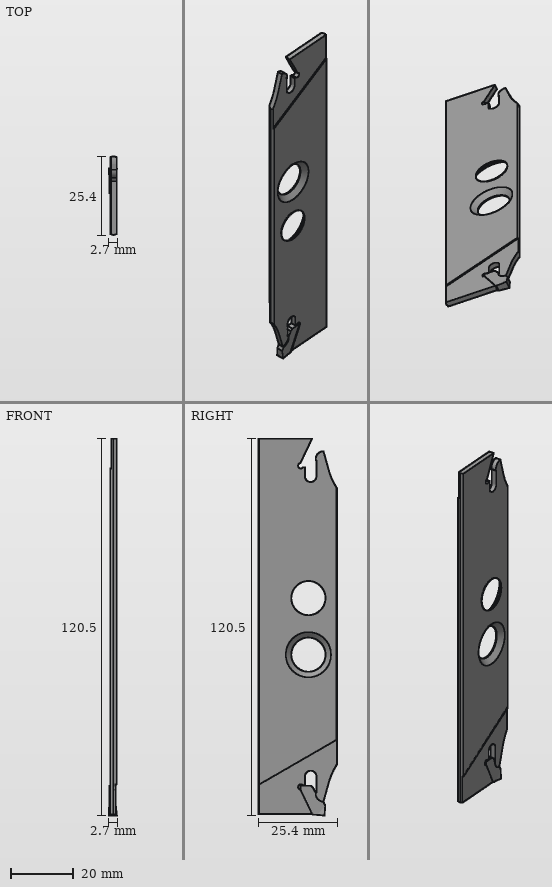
import cadquery as cq
import math

BLADE_THICKNESS = 2.2
BLADE_HEIGHT = 120.0
RIDGE_HALF_WIDTH = 12.7
FACE_HALF_WIDTH = 12.3
BLADE_X = 0.18
BLADE_Z = 0.2
HALF_THICKNESS = BLADE_THICKNESS / 2
HALF_HEIGHT = BLADE_HEIGHT / 2

STEP_DEPTH = 0.4
STEP_MID_Z = 43.4
STEP_ANGLE = 30

HOLE_Y = 3.4
HOLE_OFFSET_Z = 9.0
HOLE_RADIUS = 5.4
COUNTERSINK_RADIUS = 7.2
COUNTERSINK_DEPTH = COUNTERSINK_RADIUS - HOLE_RADIUS

SLOT_Y = 4.1
SLOT_RADIUS = 1.8
SLOT_END = 46.2
SLOT_CENTRE = SLOT_END + SLOT_RADIUS
SLOT_INNER_Y = SLOT_Y - SLOT_RADIUS
SLOT_OUTER_Y = SLOT_Y + SLOT_RADIUS
SEAT_Z = 50.9
RELIEF_RADIUS = 0.8
RELIEF_CENTRE = (1.0, 51.3)
BACK_TOP = (4.6, HALF_HEIGHT)
BACK_FOOT = (0.8, 52.2)
FINGER_HEEL = (5.7, 53.0)
FINGER_BULGE = (6.3, 55.1)
FINGER_TIP = (8.2, 56.0)
FLANK_BEND = (10.1, 49.2)
FLANK_MIDDLE = (10.8, 47.2)
FLANK_FOOT = (RIDGE_HALF_WIDTH, 43.9)

INSERT_LEFT = -1.2
INSERT_RIGHT = 1.0
CUTTING_WIDTH = 2.7
INSERT_SHOULDER = (4.1, SEAT_Z)
INSERT_SHOULDER_FOOT = (4.8, 51.5)
CHIN = (8.8, 57.2)
CUTTING_TIP = (8.5, 60.5)
HEAD_FOOT = (6.1, 60.3)
INSERT_HEEL = (5.0, HEAD_FOOT[1])


def side_plane(x):
    """Plane facing +X whose sketch axes are Y and height above blade mid-height."""
    return cq.Workplane("YZ", origin=(x, 0, BLADE_Z))


def half_turn(body):
    return body.rotate((BLADE_X, 0, BLADE_Z), (BLADE_X, 1, BLADE_Z), 180)


def blade_bar():
    left = BLADE_X - HALF_THICKNESS
    right = BLADE_X + HALF_THICKNESS
    section = [
        (left, -FACE_HALF_WIDTH),
        (BLADE_X, -RIDGE_HALF_WIDTH),
        (right, -FACE_HALF_WIDTH),
        (right, FACE_HALF_WIDTH),
        (BLADE_X, RIDGE_HALF_WIDTH),
        (left, FACE_HALF_WIDTH),
    ]
    bottom = cq.Workplane("XY", origin=(0, 0, BLADE_Z - HALF_HEIGHT))
    return bottom.polyline(section).close().extrude(BLADE_HEIGHT)


def pocket_cutter():
    """Removes the corner around the clamping finger, the insert seat and the slot at the top end."""
    clear_y = RIDGE_HALF_WIDTH + 1.2
    clear_z = HALF_HEIGHT + 1.2
    profile = (
        side_plane(BLADE_X)
        .moveTo(*BACK_TOP)
        .lineTo(*BACK_FOOT)
        .lineTo(BACK_FOOT[0], SEAT_Z)
        .lineTo(SLOT_INNER_Y, SEAT_Z)
        .lineTo(SLOT_INNER_Y, SLOT_CENTRE)
        .threePointArc((SLOT_Y, SLOT_END), (SLOT_OUTER_Y, SLOT_CENTRE))
        .lineTo(SLOT_OUTER_Y, FINGER_HEEL[1])
        .lineTo(*FINGER_HEEL)
        .threePointArc(FINGER_BULGE, FINGER_TIP)
        .lineTo(*FLANK_BEND)
        .threePointArc(FLANK_MIDDLE, FLANK_FOOT)
        .lineTo(clear_y, FLANK_FOOT[1])
        .lineTo(clear_y, clear_z)
        .lineTo(BACK_TOP[0], clear_z)
        .close()
        .extrude(BLADE_THICKNESS, both=True)
    )
    relief = (
        side_plane(BLADE_X)
        .center(*RELIEF_CENTRE)
        .circle(RELIEF_RADIUS)
        .extrude(BLADE_THICKNESS, both=True)
    )
    return profile.union(relief)


def step_cutter():
    """Thins the top end on the -X face, above a slanted border."""
    reach = RIDGE_HALF_WIDTH + 1.2
    rise = reach * math.tan(math.radians(STEP_ANGLE))
    corners = [
        (-reach, STEP_MID_Z + rise),
        (reach, STEP_MID_Z - rise),
        (reach, HALF_HEIGHT + 1.2),
        (-reach, HALF_HEIGHT + 1.2),
    ]
    face_x = BLADE_X - HALF_THICKNESS
    return side_plane(face_x).polyline(corners).close().extrude(STEP_DEPTH)


def hole_cutter():
    """Upper mounting hole, countersunk from the -X face."""
    face = side_plane(BLADE_X - HALF_THICKNESS).center(HOLE_Y, HOLE_OFFSET_Z)
    hole = face.circle(HOLE_RADIUS).extrude(BLADE_THICKNESS)
    countersink = (
        face.circle(COUNTERSINK_RADIUS)
        .workplane(offset=COUNTERSINK_DEPTH)
        .circle(HOLE_RADIUS)
        .loft()
    )
    return hole.union(countersink)


def make_blade():
    blade = blade_bar()
    for cutter in (pocket_cutter(), step_cutter(), hole_cutter()):
        blade = blade.cut(cutter).cut(half_turn(cutter))
    return blade


def downward(point):
    """The same place at the bottom end of the blade."""
    return (point[0], -point[1])


def insert_head():
    """Cutting corner of the insert, widening evenly from a crease to the tip."""
    chin, tip, foot = [downward(point) for point in (CHIN, CUTTING_TIP, HEAD_FOOT)]
    crease = (foot[0] - chin[0], foot[1] - chin[1])
    crease_length = math.hypot(*crease)
    to_tip = (tip[0] - chin[0], tip[1] - chin[1])
    tip_distance = (crease[1] * to_tip[0] - crease[0] * to_tip[1]) / crease_length
    half_cut = CUTTING_WIDTH / 2
    section = [
        (INSERT_LEFT, 0),
        (INSERT_RIGHT, 0),
        (half_cut, tip_distance),
        (-half_cut, tip_distance),
    ]
    across_crease = cq.Plane(
        origin=(0, chin[0], BLADE_Z + chin[1]),
        xDir=(1, 0, 0),
        normal=(0, crease[0], crease[1]),
    )
    wedge = cq.Workplane(across_crease).polyline(section).close().extrude(crease_length)
    triangle = side_plane(0).polyline([chin, tip, foot]).close().extrude(half_cut, both=True)
    return triangle.intersect(wedge)


def make_insert():
    """Cutting insert held in the bottom pocket, between its back and the clamping finger."""
    body = (
        side_plane(INSERT_LEFT)
        .moveTo(*downward(BACK_TOP))
        .lineTo(*downward(BACK_FOOT))
        .lineTo(BACK_FOOT[0], -SEAT_Z)
        .lineTo(*downward(INSERT_SHOULDER))
        .lineTo(*downward(INSERT_SHOULDER_FOOT))
        .lineTo(*downward(FINGER_HEEL))
        .threePointArc(downward(FINGER_BULGE), downward(FINGER_TIP))
        .lineTo(*downward(CHIN))
        .lineTo(*downward(HEAD_FOOT))
        .lineTo(*downward(INSERT_HEEL))
        .close()
        .extrude(INSERT_RIGHT - INSERT_LEFT)
    )
    return body.union(insert_head())


blade = make_blade()
insert = make_insert()
result = cq.Compound.makeCompound([blade.val(), insert.val()])